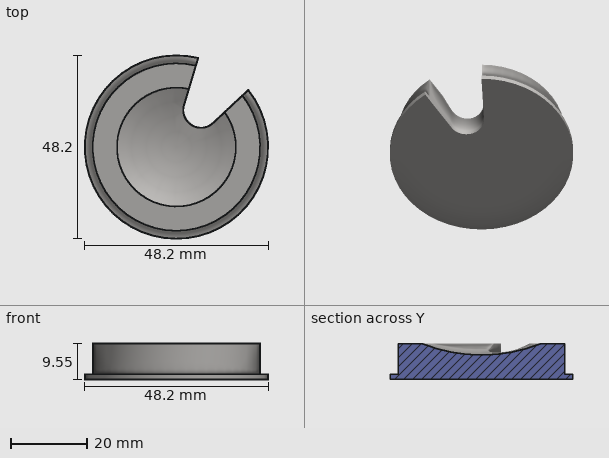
import cadquery as cq
import math

flange_diameter = 48.2
flange_height = 1.5
body_diameter = 44.0
total_height = 9.55

dish_diameter = 31.25
dish_depth = 3.0

slot_radius = 4.65
slot_center_distance = 11.65
slot_center_angle = 56.4
slot_edge_angles = (43.1, 73.3)
slot_edge_length = flange_diameter


def polar(radius, angle):
    """Vector of the given length at an angle in degrees from +X."""
    turn = math.radians(angle)
    return cq.Vector(radius * math.cos(turn), radius * math.sin(turn))


def make_cover():
    flange = cq.Workplane("XY").circle(flange_diameter / 2).extrude(flange_height)
    body = cq.Workplane("XY").circle(body_diameter / 2).extrude(total_height)
    return flange.union(body)


def make_dish():
    rim_radius = dish_diameter / 2
    sphere_radius = (rim_radius**2 + dish_depth**2) / (2 * dish_depth)
    center_height = total_height - dish_depth + sphere_radius
    return cq.Workplane("XY").sphere(sphere_radius).translate((0, 0, center_height))


def make_slot():
    lower_angle, upper_angle = slot_edge_angles
    center = polar(slot_center_distance, slot_center_angle)
    lower_tangent = center + polar(slot_radius, lower_angle - 90)
    upper_tangent = center + polar(slot_radius, upper_angle + 90)
    inner_point = center - polar(slot_radius, (lower_angle + upper_angle) / 2)
    lower_end = lower_tangent + polar(slot_edge_length, lower_angle)
    upper_end = upper_tangent + polar(slot_edge_length, upper_angle)
    return (
        cq.Workplane("XY")
        .moveTo(lower_end.x, lower_end.y)
        .lineTo(lower_tangent.x, lower_tangent.y)
        .threePointArc((inner_point.x, inner_point.y), (upper_tangent.x, upper_tangent.y))
        .lineTo(upper_end.x, upper_end.y)
        .close()
        .extrude(total_height)
    )


result = make_cover().cut(make_dish()).cut(make_slot())